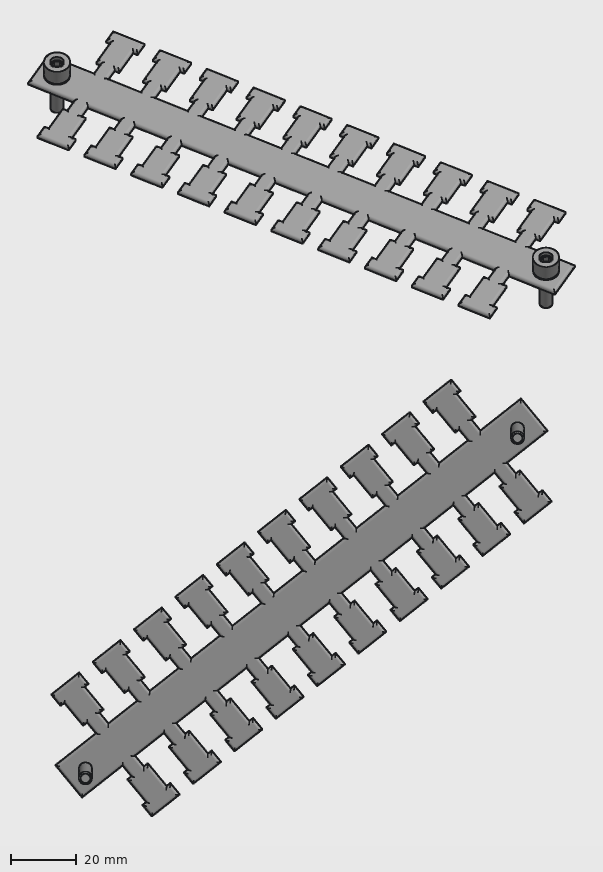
import cadquery as cq
import math

STRIP_LENGTH = 182.5
STRIP_WIDTH = 13.0
STRIP_THICKNESS = 2.0
EDGE_RADIUS = 0.99

TAB_COUNT = 10
TAB_SPAN = 145.8
TAB_PITCH = TAB_SPAN / (TAB_COUNT - 1)
TAB_REACH = 24.5
NECK_WIDTH = 5.0
PAD_WIDTH = 8.0
PAD_START = 10.8
TIP_WIDTH = 11.0
TIP_LENGTH = 4.5

SCREW_INSET = 6.5
HEAD_DIAMETER = 7.0
HEAD_HEIGHT = 4.0
SHANK_DIAMETER = 4.0
SHANK_LENGTH = 16.0
SHANK_CHAMFER = 0.5
SOCKET_SIDES = 6
SOCKET_WIDTH = 3.0
SOCKET_DEPTH = 2.0
DRILL_POINT_ANGLE = 120.0

WASHER_THICKNESS = 0.5
CAP_DIAMETER = 8.0
CAP_ROOF = 1.5
KEY_HOLE_DIAMETER = 4.2

WASHER_TOP = STRIP_THICKNESS + WASHER_THICKNESS
HEAD_TOP = WASHER_TOP + HEAD_HEIGHT
CAP_HEIGHT = HEAD_HEIGHT + CAP_ROOF

SCREW_X = STRIP_LENGTH / 2 - SCREW_INSET
SCREW_POSITIONS = [(-SCREW_X, 0), (SCREW_X, 0)]


def round_edges(plate):
    """Round the upper and lower edges of a flat plate."""
    return plate.faces(">Z or <Z").edges().fillet(EDGE_RADIUS)


def plain_bar(length):
    """Sharp-edged length of the strip without tabs."""
    return cq.Workplane("XY").rect(length, STRIP_WIDTH).extrude(STRIP_THICKNESS)


def slab(length):
    """Block that covers a middle stretch of the strip, tabs included."""
    return cq.Workplane("XY").rect(length, 2 * TAB_REACH).extrude(STRIP_THICKNESS)


def tab_pair():
    """Sharp-edged pair of opposite tabs, each a neck, a wider pad and a T-shaped tip."""
    tip_start = TAB_REACH - TIP_LENGTH
    right_side = [
        (NECK_WIDTH / 2, 0),
        (NECK_WIDTH / 2, PAD_START),
        (PAD_WIDTH / 2, PAD_START),
        (PAD_WIDTH / 2, tip_start),
        (TIP_WIDTH / 2, tip_start),
        (TIP_WIDTH / 2, TAB_REACH),
    ]
    left_side = [(-x, y) for x, y in reversed(right_side)]
    tab = cq.Workplane("XY").polyline(right_side + left_side).close().extrude(STRIP_THICKNESS)
    return tab.union(tab.mirror("XZ"))


def tab_segment():
    """One pitch of the strip with its tabs: rounded while over-long, then cut square at both ends."""
    return round_edges(plain_bar(2 * TAB_PITCH).union(tab_pair())).intersect(slab(TAB_PITCH))


def make_strip():
    strip = round_edges(plain_bar(STRIP_LENGTH)).cut(slab(TAB_COUNT * TAB_PITCH))
    segment = tab_segment()
    for i in range(TAB_COUNT):
        strip = strip.union(segment.translate((i * TAB_PITCH - TAB_SPAN / 2, 0, 0)))
    shank_holes = (
        cq.Workplane("XY")
        .pushPoints(SCREW_POSITIONS)
        .circle(SHANK_DIAMETER / 2)
        .extrude(STRIP_THICKNESS)
    )
    return strip.cut(shank_holes)


def disc(diameter, z_start, height):
    """Upright cylinder on the Z axis; a negative height extends downward."""
    return cq.Workplane("XY", origin=(0, 0, z_start)).circle(diameter / 2).extrude(height)


def make_washer():
    washer = disc(CAP_DIAMETER, STRIP_THICKNESS, WASHER_THICKNESS)
    return washer.cut(disc(SHANK_DIAMETER, STRIP_THICKNESS, WASHER_THICKNESS))


def make_cap():
    """Cap that encloses the screw head, with a hole in its roof for the key."""
    shell = disc(CAP_DIAMETER, WASHER_TOP, CAP_HEIGHT)
    head_recess = disc(HEAD_DIAMETER, WASHER_TOP, HEAD_HEIGHT)
    key_hole = disc(KEY_HOLE_DIAMETER, HEAD_TOP, CAP_ROOF)
    return shell.cut(head_recess).cut(key_hole)


def make_socket():
    """Hexagonal key socket that ends in a drill point."""
    hexagon = (
        cq.Workplane("XY", origin=(0, 0, HEAD_TOP))
        .polygon(SOCKET_SIDES, SOCKET_WIDTH, circumscribed=True)
        .extrude(-SOCKET_DEPTH)
    )
    point_radius = SOCKET_WIDTH / 2
    point_height = point_radius / math.tan(math.radians(DRILL_POINT_ANGLE / 2))
    floor_center = cq.Vector(0, 0, HEAD_TOP - SOCKET_DEPTH)
    drill_point = cq.Solid.makeCone(point_radius, 0, point_height, floor_center, cq.Vector(0, 0, -1))
    return hexagon.union(cq.Workplane(drill_point))


def make_screw():
    head = disc(HEAD_DIAMETER, WASHER_TOP, HEAD_HEIGHT)
    shank = disc(SHANK_DIAMETER, WASHER_TOP, -SHANK_LENGTH).faces("<Z").chamfer(SHANK_CHAMFER)
    return head.union(shank).cut(make_socket())


def at_screws(body):
    """One separate solid of a fastener body at each screw position."""
    return [body.translate((x, y, 0)).val() for x, y in SCREW_POSITIONS]


strip = make_strip()
screws = at_screws(make_screw())
washers = at_screws(make_washer())
caps = at_screws(make_cap())

result = cq.Compound.makeCompound([strip.val(), *screws, *washers, *caps])